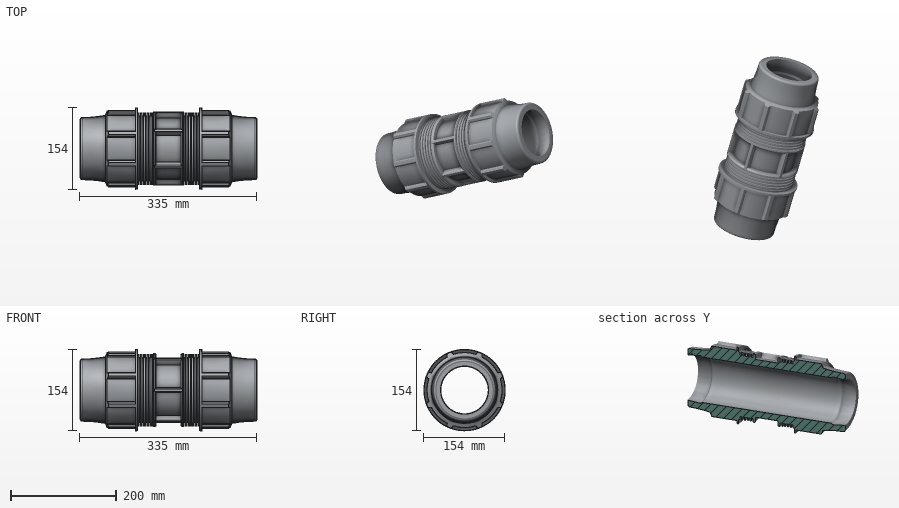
import cadquery as cq

half_length = 167.5

bore_radius = 90.0 / 2
undercut_radius = 47.5
undercut_depth = 27.5
undercut_return_length = 3.5

nose_radius = 59.0
nose_edge_radius = 4.5
nose_base_radius = 63.0
shoulder_x = -120.0
shoulder_slope = 2.35
nut_radius = 71.0
flange_radius = 154.0 / 2
flange_outer_x = -63.0
flange_inner_x = -58.5
nut_rib_count = 8
nut_rib_top_half_width = 3.5
nut_rib_edge_half_width = 5.7
nut_rib_base_half_width = 6.5
nut_rib_edge_height = 3.7

thread_root_radius = 123.3 / 2
thread_crest_radius = 135.7 / 2
thread_pitch = 6.0
thread_crest_width = 3.5
thread_ring_count = 6
last_ring_x = -27.5

collar_radius = 138.7 / 2
collar_outer_x = -28.0
collar_inner_x = -23.5
collar_bevel_length = 2.7
collar_bevel_height = 2.0
pipe_radius = 58.3
body_rib_count = 6
body_rib_top_half_width = 2.5
body_rib_edge_half_width = 3.52
body_rib_base_half_width = 4.7
body_rib_edge_height = 2.5
body_rib_end_x = 26.5

overlap = 1.7


def shoulder_position(radius):
    """X at which the conical nut shoulder reaches the given radius."""
    return shoulder_x + (radius - nose_base_radius) / shoulder_slope


def ring(x_start, x_end, radius):
    """Solid disc on the X axis between two X positions."""
    return cq.Workplane("YZ", origin=(x_start, 0, 0)).circle(radius).extrude(x_end - x_start)


def around_x(solid, count, first_angle):
    """Union of evenly spaced copies of a solid around the X axis."""
    copies = cq.Workplane("XY")
    for index in range(count):
        angle = first_angle + index * 360.0 / count
        copies = copies.union(solid.rotate((0, 0, 0), (1, 0, 0), angle))
    return copies


def nut_profile(outer_radius):
    """Nose and conical shoulder, continued at the given radius to the flange."""
    face_x = -half_length
    nose_x = face_x + nose_edge_radius
    return (
        cq.Workplane("XY")
        .moveTo(face_x, 0)
        .lineTo(face_x, nose_radius - nose_edge_radius)
        .tangentArcPoint((nose_x, nose_radius), relative=False)
        .tangentArcPoint((shoulder_x, nose_base_radius), relative=False)
        .lineTo(shoulder_position(outer_radius), outer_radius)
        .lineTo(flange_inner_x, outer_radius)
        .lineTo(flange_inner_x, 0)
        .close()
        .revolve(360, (0, 0, 0), (1, 0, 0))
    )


def rib_section(workplane, base_radius, edge_radius, top_radius, base_half, edge_half, top_half):
    """Closed outline of a rib standing along Z, with drafted sides and bevelled top edges."""
    return workplane.polyline([
        (-base_half, base_radius),
        (base_half, base_radius),
        (edge_half, edge_radius),
        (top_half, top_radius),
        (-top_half, top_radius),
        (-edge_half, edge_radius),
    ]).close()


def nut_ribs():
    """Bevelled grip ribs, cut off by the shoulder cone and level with the flange."""
    rib = rib_section(
        cq.Workplane("YZ", origin=(shoulder_x, 0, 0)),
        nut_radius - overlap, flange_radius - nut_rib_edge_height, flange_radius,
        nut_rib_base_half_width, nut_rib_edge_half_width, nut_rib_top_half_width,
    ).extrude(flange_inner_x - shoulder_x)
    half_step = 180.0 / nut_rib_count
    return around_x(rib, nut_rib_count, half_step).intersect(nut_profile(flange_radius))


def threaded_end():
    """Thread root with its rings, and the collar with a bevelled inner edge."""
    end = ring(flange_inner_x, collar_inner_x, thread_root_radius)
    for index in range(thread_ring_count):
        centre = last_ring_x - index * thread_pitch
        start = centre - thread_crest_width / 2
        end = end.union(ring(start, start + thread_crest_width, thread_crest_radius))
    collar = (
        cq.Workplane("XY")
        .polyline([
            (collar_outer_x, 0),
            (collar_outer_x, collar_radius),
            (collar_inner_x - collar_bevel_length, collar_radius),
            (collar_inner_x, collar_radius - collar_bevel_height),
            (collar_inner_x, 0),
        ])
        .close()
        .revolve(360, (0, 0, 0), (1, 0, 0))
    )
    return end.union(collar)


def body_ribs():
    """Bevelled ribs that run between the two collars."""
    rib = rib_section(
        cq.Workplane("YZ", origin=(-body_rib_end_x, 0, 0)),
        pipe_radius - overlap, collar_radius - body_rib_edge_height, collar_radius,
        body_rib_base_half_width, body_rib_edge_half_width, body_rib_top_half_width,
    ).extrude(2 * body_rib_end_x)
    first_rib_angle = 90
    return around_x(rib, body_rib_count, first_rib_angle)


def bore():
    """Through bore whose two mouths flare inward to an undercut and return to the bore radius."""
    undercut_x = half_length - undercut_depth
    return_x = undercut_x - undercut_return_length
    return (
        cq.Workplane("XY")
        .polyline([
            (-half_length, 0),
            (-half_length, bore_radius),
            (-undercut_x, undercut_radius),
            (-return_x, bore_radius),
            (return_x, bore_radius),
            (undercut_x, undercut_radius),
            (half_length, bore_radius),
            (half_length, 0),
        ])
        .close()
        .revolve(360, (0, 0, 0), (1, 0, 0))
    )


flange = ring(flange_outer_x, flange_inner_x, flange_radius)
outer_end = nut_profile(nut_radius).union(nut_ribs()).union(flange).union(threaded_end())
pipe = ring(collar_outer_x, -collar_outer_x, pipe_radius)

result = outer_end.union(outer_end.mirror("YZ")).union(pipe).union(body_ribs()).cut(bore())